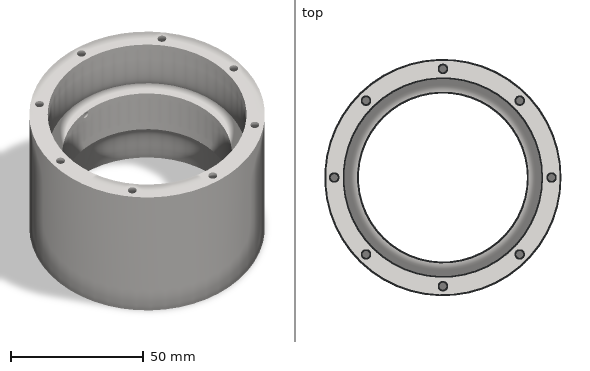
import cadquery as cq
import math

outer_diameter = 88.9
height = 60.0
outer_radius = outer_diameter / 2

ring_bore_diameter = 64.0
counterbore_diameter = 75.0
counterbore_depth = 20.5

rim_hole_count = 8
rim_hole_circle_diameter = 82.0
rim_hole_diameter = 3.3
rim_hole_depth = 12.0

flat_width = 16.0
flat_height = 50.0
flat_distance = math.sqrt(outer_radius**2 - (flat_width / 2) ** 2)

flat_hole_diameter = 2.5
flat_hole_offset = 5.1
upper_flat_hole_height = 37.8
lower_flat_hole_height = 15.6


def make_body():
    """Tube with a counterbore at the top and at the bottom."""
    body = cq.Workplane("XY").circle(outer_radius).circle(ring_bore_diameter / 2).extrude(height)
    counterbore = cq.Workplane("XY").circle(counterbore_diameter / 2).extrude(counterbore_depth)
    top_counterbore = counterbore.translate((0, 0, height - counterbore_depth))
    return body.cut(counterbore).cut(top_counterbore)


def make_rim_holes():
    """Ring of blind holes going down from the top face."""
    return (
        cq.Workplane("XY", origin=(0, 0, height))
        .polarArray(rim_hole_circle_diameter / 2, 0, 360, rim_hole_count)
        .circle(rim_hole_diameter / 2)
        .extrude(-rim_hole_depth)
    )


def make_flat_cutter():
    """Block that takes the material outside the flat."""
    cutter_length = outer_radius
    return (
        cq.Workplane("XY", origin=(-flat_distance - cutter_length, 0, 0))
        .box(cutter_length, flat_width, flat_height, centered=(False, True, False))
    )


def make_flat_holes():
    """Holes along X from outside the flat to inside the bore."""
    hole_positions = [
        (-flat_hole_offset, upper_flat_hole_height),
        (flat_hole_offset, lower_flat_hole_height),
    ]
    return (
        cq.Workplane("YZ", origin=(-outer_radius, 0, 0))
        .pushPoints(hole_positions)
        .circle(flat_hole_diameter / 2)
        .extrude(outer_radius)
    )


result = make_body().cut(make_rim_holes()).cut(make_flat_cutter()).cut(make_flat_holes())